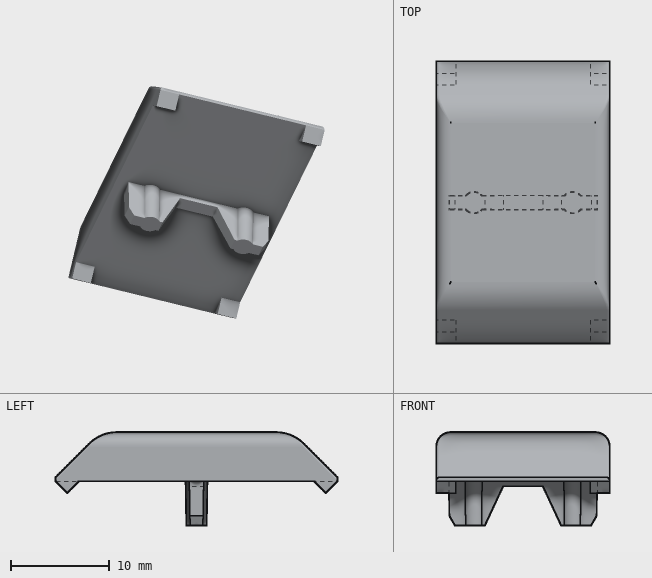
import cadquery as cq
import math

WIDTH = 17.6
LENGTH = 28.6
BODY_HEIGHT = 5.0
END_WALL_HEIGHT = 0.4
END_FILLET = 4.0
SIDE_FILLET = 1.5
SLOPE_EDGE_FILLET = 0.3

LUG_DEPTH = 1.2
LUG_WIDTH = 2.0

TOTAL_HEIGHT = 9.5
DRAFT_ANGLE = 1.0
CLIP_WIDTH = 15.06
CLIP_THICKNESS = 1.45
RIB_DIAMETER = 2.24
RIB_OFFSET = 5.0
TIP_BEVEL_HEIGHT = 1.0
TIP_BEVEL_ANGLE = 30.0
NOTCH_TOP_WIDTH = 4.0
NOTCH_TOP_DEPTH = 0.5
NOTCH_ANGLE = 25.0

HALF_WIDTH = WIDTH / 2
HALF_LENGTH = LENGTH / 2
CLIP_HEIGHT = TOTAL_HEIGHT - BODY_HEIGHT
SLOPE_HEIGHT = BODY_HEIGHT - END_WALL_HEIGHT
TOP_HALF_LENGTH = HALF_LENGTH - SLOPE_HEIGHT


def make_body():
    """Trapezoidal cover with rounded top edges."""
    outline = [
        (-HALF_LENGTH, -BODY_HEIGHT),
        (HALF_LENGTH, -BODY_HEIGHT),
        (HALF_LENGTH, -SLOPE_HEIGHT),
        (TOP_HALF_LENGTH, 0),
        (-TOP_HALF_LENGTH, 0),
        (-HALF_LENGTH, -SLOPE_HEIGHT),
    ]
    sloped = cq.Workplane("YZ").polyline(outline).close().extrude(HALF_WIDTH, both=True)
    sloped = sloped.edges("|X and >Z").fillet(END_FILLET)
    rounded = (
        cq.Workplane("XY")
        .box(WIDTH, LENGTH, BODY_HEIGHT, centered=(True, True, False))
        .translate((0, 0, -BODY_HEIGHT))
        .edges("|Y and >Z")
        .fillet(SIDE_FILLET)
    )
    body = sloped.intersect(rounded)
    return body.edges("|(0, 1, 1) or |(0, 1, -1)").fillet(SLOPE_EDGE_FILLET)


def make_lug(x_side, y_side):
    """Triangular tooth below one corner of the body."""
    outer_y = y_side * HALF_LENGTH
    outline = [
        (outer_y, -BODY_HEIGHT),
        (outer_y - y_side * LUG_DEPTH, -BODY_HEIGHT - LUG_DEPTH),
        (outer_y - y_side * 2 * LUG_DEPTH, -BODY_HEIGHT),
    ]
    return (
        cq.Workplane("YZ", origin=(x_side * HALF_WIDTH, 0, 0))
        .polyline(outline)
        .close()
        .extrude(-x_side * LUG_WIDTH)
    )


def make_clip_envelope():
    """Front outline of the clip: bevelled outer tips and a flared notch."""
    underside = -BODY_HEIGHT
    tip = -TOTAL_HEIGHT
    notch_top = underside - NOTCH_TOP_DEPTH
    half_width = CLIP_WIDTH / 2
    draft = math.tan(math.radians(DRAFT_ANGLE))
    bevel_half_width = half_width - (CLIP_HEIGHT - TIP_BEVEL_HEIGHT) * draft
    tip_half_width = bevel_half_width - TIP_BEVEL_HEIGHT * math.tan(math.radians(TIP_BEVEL_ANGLE))
    notch_half_top = NOTCH_TOP_WIDTH / 2
    notch_half_bottom = notch_half_top + (notch_top - tip) * math.tan(math.radians(NOTCH_ANGLE))
    right_half = [
        (half_width, underside),
        (bevel_half_width, tip + TIP_BEVEL_HEIGHT),
        (tip_half_width, tip),
        (notch_half_bottom, tip),
        (notch_half_top, notch_top),
    ]
    left_half = [(-x, z) for x, z in reversed(right_half)]
    return (
        cq.Workplane("XZ")
        .polyline(right_half + left_half)
        .close()
        .extrude(RIB_DIAMETER, both=True)
    )


def make_clip():
    """Drafted plate and ribs trimmed to the clip outline."""
    underside = cq.Workplane("XY", origin=(0, 0, -BODY_HEIGHT))
    clip = underside.rect(CLIP_WIDTH, CLIP_THICKNESS).extrude(-CLIP_HEIGHT, taper=DRAFT_ANGLE)
    for side in (-1, 1):
        rib = (
            underside.center(side * RIB_OFFSET, 0)
            .circle(RIB_DIAMETER / 2)
            .extrude(-CLIP_HEIGHT, taper=DRAFT_ANGLE)
        )
        clip = clip.union(rib)
    return clip.intersect(make_clip_envelope())


result = make_body().union(make_clip())
for x_side in (-1, 1):
    for y_side in (-1, 1):
        result = result.union(make_lug(x_side, y_side))